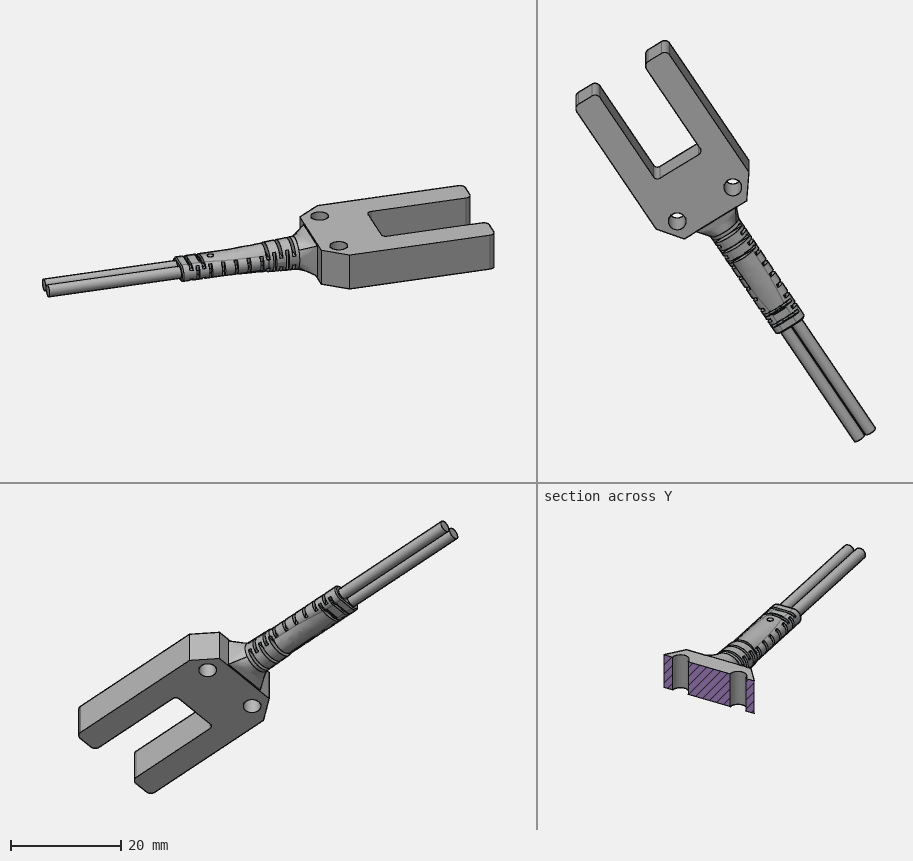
import cadquery as cq
import math


body_width = 20.0
body_length = 32.0
body_height = 7.0
slot_width = 10.0
slot_depth = 19.85
rear_chamfer_x = 3.3
rear_chamfer_y = 4.35
tip_fillet = 1.1
slot_fillet = 0.8
hole_diameter = 3.2
hole_spacing = 12.0
hole_from_rear = 3.5

flare_width = 8.6
flare_height = 6.2
flare_length = 2.95
flare_corner_angle = math.radians(36)

relief_width = 6.15
relief_half_width = relief_width / 2
collar_start_half_height = 3.0
collar_end_half_height = 2.6
core_height = 3.2
core_end = 25.1
core_end_chamfer = 0.25
panel_start_half_width = 2.6
panel_end_half_width = 2.95
panel_end_half_height = 1.8
panel_end = 21.4

first_groove = 3.9
groove_row_length = 19.35
side_groove_count = 8
groove_pitch = groove_row_length / side_groove_count
groove_width = 0.6
top_groove_steps = (0, 1, 2, 7, 8)
web_half_height = 0.9
web_half_width = 2.2

collar_end = first_groove + top_groove_steps[2] * groove_pitch

dimple_diameter = 1.15
dimple_distance = 18.95
dimple_floor = 1.9

overall_length = 82.0
cable_diameter = 2.2
cable_spacing = 2.4
cable_end = overall_length - body_length


def plane_behind(distance):
    """XZ workplane at a distance behind the body; extrusions run towards -Y."""
    return cq.Workplane("XZ", origin=(0, -distance, 0))


def make_body():
    half_width = body_width / 2
    half_slot = slot_width / 2
    rear_half_width = half_width - rear_chamfer_x
    slot_bottom = body_length - slot_depth
    right_side = [
        (rear_half_width, 0),
        (half_width, rear_chamfer_y),
        (half_width, body_length),
        (half_slot, body_length),
        (half_slot, slot_bottom),
    ]
    left_side = [(-x, y) for x, y in reversed(right_side)]
    body = (
        cq.Workplane("XY", origin=(0, 0, -body_height / 2))
        .polyline(right_side + left_side)
        .close()
        .extrude(body_height)
    )
    body = body.edges("|Z").edges(">Y").fillet(tip_fillet)
    slot_corners = cq.selectors.BoxSelector(
        (-slot_width, slot_bottom - slot_fillet, -body_height),
        (slot_width, slot_bottom + slot_fillet, body_height),
    )
    body = body.edges("|Z").edges(slot_corners).fillet(slot_fillet)
    holes = (
        cq.Workplane("XY", origin=(0, hole_from_rear, -body_height / 2))
        .pushPoints([(-hole_spacing / 2, 0), (hole_spacing / 2, 0)])
        .circle(hole_diameter / 2)
        .extrude(body_height)
    )
    return body.cut(holes)


def make_flare():
    """Rectangle at the body blending into the round start of the collar."""
    corner_x = relief_half_width * math.cos(flare_corner_angle)
    corner_z = collar_start_half_height * math.sin(flare_corner_angle)
    rectangle = plane_behind(0).rect(flare_width, flare_height).wire().val()
    round_end = (
        plane_behind(flare_length)
        .moveTo(-corner_x, -corner_z)
        .threePointArc((0, -collar_start_half_height), (corner_x, -corner_z))
        .threePointArc((relief_half_width, 0), (corner_x, corner_z))
        .threePointArc((0, collar_start_half_height), (-corner_x, corner_z))
        .threePointArc((-relief_half_width, 0), (-corner_x, -corner_z))
        .close()
        .val()
    )
    return cq.Workplane(cq.Solid.makeLoft([rectangle, round_end], True))


def make_tapered_ellipse(start, start_radii, end, end_radii):
    """Ruled loft between two ellipses, each given by its (X, Z) radii."""
    return (
        plane_behind(start)
        .ellipse(*start_radii)
        .workplane(offset=end - start)
        .ellipse(*end_radii)
        .loft(ruled=True)
    )


def make_collar():
    return make_tapered_ellipse(
        flare_length,
        (relief_half_width, collar_start_half_height),
        collar_end,
        (relief_half_width, collar_end_half_height),
    )


def make_core():
    core = plane_behind(collar_end).slot2D(relief_width, core_height).extrude(core_end - collar_end)
    return core.faces("<Y").chamfer(core_end_chamfer)


def make_panel():
    return make_tapered_ellipse(
        collar_end,
        (panel_start_half_width, collar_end_half_height),
        panel_end,
        (panel_end_half_width, panel_end_half_height),
    )


def make_grooves():
    """Blocks that cut the grooves down to flat floors on each side of the web."""
    block = body_height
    grooves = cq.Workplane("XY")
    for step in top_groove_steps:
        y = -(first_groove + step * groove_pitch)
        z = web_half_height + block / 2
        for side in (-1, 1):
            cutter = cq.Workplane("XY").box(2 * block, groove_width, block)
            grooves = grooves.add(cutter.translate((0, y, side * z)))
    for step in range(side_groove_count):
        y = -(first_groove + (step + 0.5) * groove_pitch)
        x = web_half_width + block / 2
        for side in (-1, 1):
            cutter = cq.Workplane("XY").box(block, groove_width, 2 * block)
            grooves = grooves.add(cutter.translate((side * x, y, 0)))
    return grooves.combine()


def make_dimple():
    return (
        cq.Workplane("XY", origin=(0, -dimple_distance, dimple_floor))
        .circle(dimple_diameter / 2)
        .extrude(body_height)
    )


def make_cables():
    """Two cables that start at the collar, inside the core, and run out of its end."""
    return (
        plane_behind(collar_end)
        .pushPoints([(-cable_spacing / 2, 0), (cable_spacing / 2, 0)])
        .circle(cable_diameter / 2)
        .extrude(cable_end - collar_end)
    )


strain_relief = make_flare().union(make_collar()).union(make_core()).union(make_panel())
strain_relief = strain_relief.cut(make_grooves()).cut(make_dimple())

result = make_body().union(strain_relief).union(make_cables())